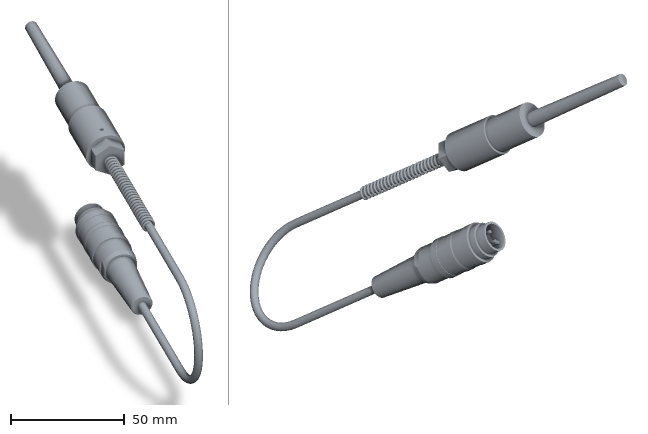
import cadquery as cq
import math

cable_dia = 3.8
overall_length = 223.8
axis_spacing = 50.0
bend_radius = axis_spacing / 2
bend_start_x = overall_length - bend_radius - cable_dia / 2
plug_z = -axis_spacing

tip_dia = 5.5
probe_root_dia = 7.0
housing_front_x = 54.6
housing_step_x = 75.2
housing_rear_x = 98.7
sleeve_dia = 16.1
grip_dia = 18.1
vent_dia = 1.8
vent_x = 93.5
vent_depth = 2.2
nut_rear_x = 104.8
nut_corner_dia = 15.7

spring_end_x = 157.1
spring_dia = 6.3
wire_dia = 1.0
spring_pitch = 2.0

plug_front_x = 77.0
core_front_x = 82.0
ring_front_x = 85.3
ring_rear_x = 97.8
rear_band_x = 103.9
rear_neck_x = 107.2
plug_chamfer_x = 116.6
plug_rear_x = 118.6
mouth_dia = 13.7
core_dia = 16.0
plug_dia = 18.5
band_dia = 18.1
neck_dia = 17.2
plug_rear_dia = 16.0

socket_dia = 11.6
socket_depth = 6.7
pin_dia = 1.5
pin_setback = 2.7
pin_circle_radius = 3.4
pin_count = 4
key_width = 1.5
key_height = 1.3
flat_front_x = 115.0
flat_distance = 7.5

ring_grip_front_x = 89.3
ring_grip_rear_x = 94.7
ring_rear_band_x = 95.4

relief_rear_x = 147.0
relief_front_dia = 13.5
relief_rear_dia = 10.0
relief_chamfer = 0.5


def rod(start_x, end_x, diameter, z=0):
    """Solid cylinder along X."""
    return cq.Workplane("YZ", origin=(start_x, 0, z)).circle(diameter / 2).extrude(end_x - start_x)


def turned(profile, z=0):
    """Solid of revolution along X from a list of (x, diameter) corners."""
    outline = [(profile[0][0], 0)]
    outline += [(x, diameter / 2) for x, diameter in profile]
    outline += [(profile[-1][0], 0)]
    solid = cq.Workplane("XY").polyline(outline).close().revolve(360, (0, 0, 0), (1, 0, 0))
    return solid.translate((0, 0, z))


def make_probe_tube():
    return turned([(0, tip_dia), (housing_front_x, probe_root_dia)])


def make_housing():
    housing = rod(housing_front_x, housing_step_x, sleeve_dia)
    housing = housing.union(rod(housing_step_x, housing_rear_x, grip_dia))
    vent = (
        cq.Workplane("XY", origin=(vent_x, 0, grip_dia / 2 - vent_depth))
        .circle(vent_dia / 2)
        .extrude(2 * vent_depth)
    )
    return housing.cut(vent)


def make_nut():
    """Hexagonal nut with corners at top and bottom, bored for the cable."""
    nut = (
        cq.Workplane("YZ", origin=(housing_rear_x, 0, 0))
        .transformed(rotate=(0, 0, 90))
        .polygon(6, nut_corner_dia)
        .extrude(nut_rear_x - housing_rear_x)
    )
    return nut.cut(rod(housing_rear_x, nut_rear_x, cable_dia))


def make_spring():
    """Left-handed round-wire coil spring, its first coil touching the nut."""
    coil_radius = (spring_dia - wire_dia) / 2
    length = spring_end_x - nut_rear_x - wire_dia
    helix = cq.Wire.makeHelix(spring_pitch, length, coil_radius, lefthand=True)
    wire = cq.Workplane("XZ", origin=(coil_radius, 0, 0)).circle(wire_dia / 2).sweep(helix, isFrenet=True)
    return wire.rotate((0, 0, 0), (0, 1, 0), 90).translate((nut_rear_x + wire_dia / 2, 0, 0))


def make_cable():
    path = (
        cq.Workplane("XZ")
        .moveTo(housing_rear_x, 0)
        .lineTo(bend_start_x, 0)
        .threePointArc((bend_start_x + bend_radius, -bend_radius), (bend_start_x, plug_z))
        .lineTo(plug_rear_x, plug_z)
    )
    return cq.Workplane("YZ", origin=(housing_rear_x, 0, 0)).circle(cable_dia / 2).sweep(path)


def make_plug():
    plug = turned(
        [
            (plug_front_x, mouth_dia),
            (core_front_x, mouth_dia),
            (core_front_x, core_dia),
            (ring_rear_x, core_dia),
            (ring_rear_x, band_dia),
            (rear_band_x, band_dia),
            (rear_band_x, plug_dia),
            (rear_neck_x, plug_dia),
            (rear_neck_x, neck_dia),
            (plug_chamfer_x, neck_dia),
            (plug_rear_x, plug_rear_dia),
        ],
        plug_z,
    )
    socket_floor_x = plug_front_x + socket_depth
    plug = plug.cut(rod(plug_front_x, socket_floor_x, socket_dia, plug_z))

    pin_front_x = plug_front_x + pin_setback
    for index in range(pin_count):
        angle = 2 * math.pi * index / pin_count
        pin = rod(pin_front_x, socket_floor_x, pin_dia, plug_z)
        offset = (0, pin_circle_radius * math.cos(angle), pin_circle_radius * math.sin(angle))
        plug = plug.union(pin.translate(offset))
    key = cq.Workplane("XY").box(socket_depth - pin_setback, 2 * key_height, key_width)
    key = key.translate(((pin_front_x + socket_floor_x) / 2, -socket_dia / 2, plug_z))
    plug = plug.union(key.intersect(rod(plug_front_x, socket_floor_x, mouth_dia, plug_z)))

    for side in (-1, 1):
        cutter = cq.Workplane("XY").box(
            plug_rear_x - flat_front_x, plug_dia, plug_dia, centered=(False, True, True)
        )
        plug = plug.cut(cutter.translate((flat_front_x, side * (flat_distance + plug_dia / 2), plug_z)))
    return plug


def make_coupling_ring():
    ring = turned(
        [
            (ring_front_x, plug_dia),
            (ring_grip_front_x, plug_dia),
            (ring_grip_front_x, band_dia),
            (ring_grip_rear_x, band_dia),
            (ring_rear_band_x, plug_dia),
            (ring_rear_x, plug_dia),
        ],
        plug_z,
    )
    return ring.cut(rod(ring_front_x, ring_rear_x, core_dia, plug_z))


def make_strain_relief():
    relief = turned([(plug_rear_x, relief_front_dia), (relief_rear_x, relief_rear_dia)], plug_z)
    relief = relief.faces(">X").chamfer(relief_chamfer)
    return relief.cut(rod(plug_rear_x, relief_rear_x, cable_dia, plug_z))


probe_tube = make_probe_tube()
housing = make_housing()
nut = make_nut()
spring = make_spring()
cable = make_cable()
plug = make_plug()
coupling_ring = make_coupling_ring()
strain_relief = make_strain_relief()

result = cq.Compound.makeCompound(
    [
        probe_tube.val(),
        housing.val(),
        nut.val(),
        spring.val(),
        cable.val(),
        plug.val(),
        coupling_ring.val(),
        strain_relief.val(),
    ]
)